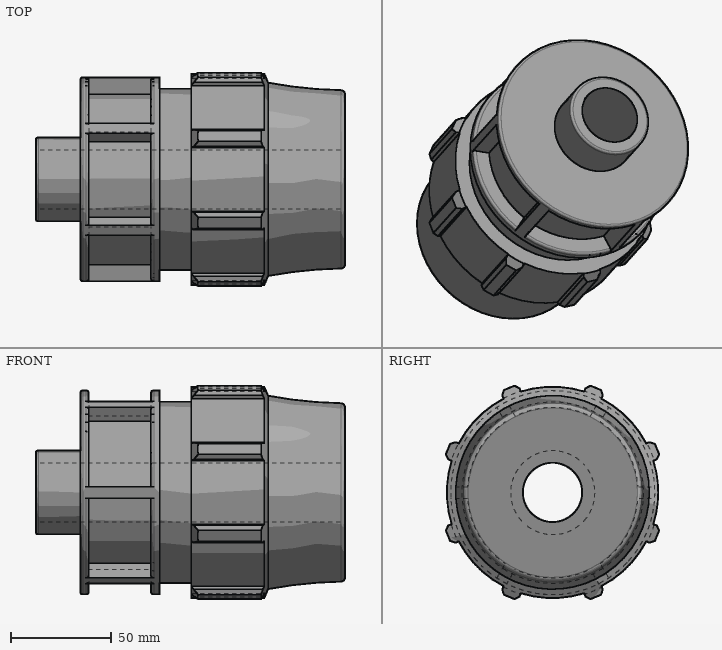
import cadquery as cq
import math

flange_start = 22.2
pocket_start = 26.3
pocket_end = 57.3
collar_end = 61.6
nut_start = 77.3
nut_cone_end = 115.7
overall_length = 154.0

bore_radius = 29.4 / 2
spigot_radius = 41.9 / 2
flange_radius = 101.6 / 2
pocket_floor_radius = 42.5
neck_radius = 90.4 / 2
nut_radius = 52.7
tail_start_radius = 48.2
tail_middle_radius = 45.6
tail_end_radius = 44.5

spigot_rounding = 1.2
flange_rounding = 1.2
pocket_rim_rounding = 1.4
tail_rounding = 2.3

rib_count = 6
rib_width = 5.7
cutter_clearance = 1.5

lug_count = 8
lug_width = 9.4
lug_crest_width = 5.7
lug_shoulder_radius = 54.2
lug_crest_radius = 56.4
lug_root_radius = 49.3
lug_lead_in_radius = 53.0
lug_lead_in_length = 3.4

nut_cone_slope = 0.43
envelope_clearance = 1.5


def nut_cone_station(radius):
    """X position at which the steep end cone of the nut has the given radius."""
    return nut_cone_end - nut_cone_slope * (radius - tail_start_radius)


def arc_middle(center_x, center_radius, rounding, direction_x):
    """Midpoint of a quarter round on an outer edge facing -X or +X."""
    diagonal = rounding * math.sqrt(0.5)
    return center_x + direction_x * diagonal, center_radius + diagonal


def step_up_rounded(profile, start_x, radius, rounding):
    """Climb a face looking toward -X and round it over onto the given radius."""
    center_x = start_x + rounding
    center_radius = radius - rounding
    middle = arc_middle(center_x, center_radius, rounding, -1)
    return profile.lineTo(start_x, center_radius).threePointArc(middle, (center_x, radius))


def revolve_about_x(profile):
    """Close a half profile and turn it into a solid of revolution."""
    return profile.close().revolve(360, (0, 0, 0), (1, 0, 0))


def make_turned_body():
    """Spigot, flanges, neck and curved tail as one solid of revolution, without the nut."""
    tail_end = overall_length - tail_rounding
    tail_middle = (nut_cone_end + tail_end) / 2

    profile = cq.Workplane("XY").moveTo(0, 0)
    profile = step_up_rounded(profile, 0, spigot_radius, spigot_rounding)
    profile = profile.lineTo(flange_start, spigot_radius)
    profile = step_up_rounded(profile, flange_start, flange_radius, flange_rounding)
    profile = (
        profile.lineTo(collar_end, flange_radius)
        .lineTo(collar_end, neck_radius)
        .lineTo(nut_cone_end, neck_radius)
        .lineTo(nut_cone_end, tail_start_radius)
        .threePointArc((tail_middle, tail_middle_radius), (tail_end, tail_end_radius))
        .threePointArc(
            arc_middle(tail_end, tail_end_radius - tail_rounding, tail_rounding, 1),
            (overall_length, tail_end_radius - tail_rounding),
        )
        .lineTo(overall_length, 0)
    )
    return revolve_about_x(profile)


def make_pockets():
    """Annular cutter with flared rims, interrupted where the ribs remain."""
    rim_start = pocket_start - pocket_rim_rounding
    rim_end = pocket_end + pocket_rim_rounding
    rim_center_radius = flange_radius - pocket_rim_rounding
    cutter_radius = flange_radius + cutter_clearance
    ring = revolve_about_x(
        cq.Workplane("XY")
        .moveTo(pocket_start, pocket_floor_radius)
        .lineTo(pocket_start, rim_center_radius)
        .threePointArc(
            arc_middle(rim_start, rim_center_radius, pocket_rim_rounding, 1),
            (rim_start, flange_radius),
        )
        .lineTo(rim_start, cutter_radius)
        .lineTo(rim_end, cutter_radius)
        .lineTo(rim_end, flange_radius)
        .threePointArc(
            arc_middle(rim_end, rim_center_radius, pocket_rim_rounding, -1),
            (pocket_end, rim_center_radius),
        )
        .lineTo(pocket_end, pocket_floor_radius)
    )
    bar = cq.Workplane("YZ").rect(2 * cutter_radius + rib_width, rib_width).extrude(collar_end)
    for index in range(rib_count // 2):
        ring = ring.cut(bar.rotate((0, 0, 0), (1, 0, 0), index * 360 / rib_count))
    return ring


def make_lug_bar():
    """Untrimmed bar of one grip lug on the +Y side."""
    half_width = lug_width / 2
    half_crest = lug_crest_width / 2
    return (
        cq.Workplane("YZ", origin=(nut_start, 0, 0))
        .moveTo(lug_root_radius, -half_width)
        .lineTo(lug_shoulder_radius, -half_width)
        .lineTo(lug_crest_radius, -half_crest)
        .lineTo(lug_crest_radius, half_crest)
        .lineTo(lug_shoulder_radius, half_width)
        .lineTo(lug_root_radius, half_width)
        .close()
        .extrude(nut_cone_end - nut_start)
    )


def make_nut():
    """Lugged nut with tapered lug lead-ins and a steep cone at its far end."""
    nut_length = nut_cone_end - nut_start
    blank = cq.Workplane("YZ", origin=(nut_start, 0, 0)).circle(nut_radius).extrude(nut_length)
    lug_bar = make_lug_bar()
    lug_pitch = 360 / lug_count
    for index in range(lug_count):
        angle = (index + 0.5) * lug_pitch
        blank = blank.union(lug_bar.rotate((0, 0, 0), (1, 0, 0), angle))

    envelope_radius = lug_crest_radius + envelope_clearance
    lead_in_slope = lug_lead_in_length / (lug_crest_radius - lug_lead_in_radius)
    lead_in_end = nut_start + lead_in_slope * (envelope_radius - lug_lead_in_radius)
    envelope = revolve_about_x(
        cq.Workplane("XY")
        .moveTo(nut_start, 0)
        .lineTo(nut_start, lug_lead_in_radius)
        .lineTo(lead_in_end, envelope_radius)
        .lineTo(nut_cone_station(envelope_radius), envelope_radius)
        .lineTo(nut_cone_end, tail_start_radius)
        .lineTo(nut_cone_end, 0)
    )
    return blank.intersect(envelope)


bore = cq.Workplane("YZ").circle(bore_radius).extrude(overall_length)
result = make_turned_body().cut(make_pockets()).union(make_nut()).cut(bore)